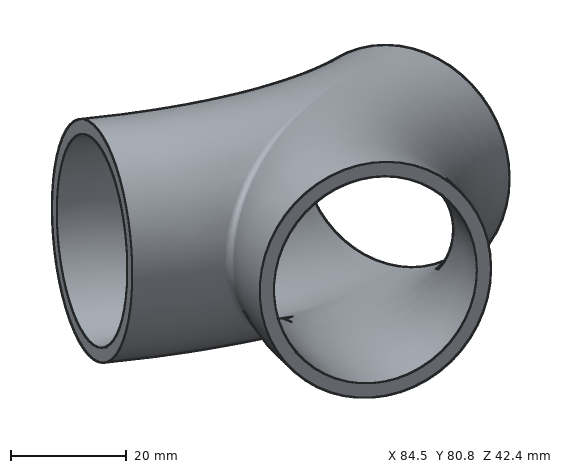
import cadquery as cq

outer_diameter = 42.4
wall = 2.6
bend_angle = 45
bend_radius = 93.0

crotch_fillet = 1.0
bore_fillet = 4.0

plain_seam_length = 0.85

outer_radius = outer_diameter / 2
bore_radius = outer_radius - wall
block_size = 2 * outer_diameter

flat_edge_tolerance = 0.04


def bend(radius):
    """Solid round bend that leaves the inlet along -Y and turns towards +X."""
    axis_start = (bend_radius, 0)
    axis_end = (bend_radius, 1)
    return cq.Workplane("XZ").circle(radius).revolve(bend_angle, axis_start, axis_end)


def mirrored_pair(half):
    return half.union(half.mirror("YZ"))


def filleted_pair(radius, seam_fillet):
    """Two solid bends joined at the inlet, with the seam in the plane x = 0 filleted."""
    half = bend(radius)
    inlet_block = cq.Workplane().box(block_size, 2 * plain_seam_length, block_size)
    inlet_stretch = mirrored_pair(half.intersect(inlet_block))
    legs = mirrored_pair(half.cut(inlet_block))
    seam = [edge for edge in legs.edges().vals() if edge.BoundingBox().xlen < flat_edge_tolerance]
    return legs.newObject(seam).fillet(seam_fillet).union(inlet_stretch)


outer_body = filleted_pair(outer_radius, crotch_fillet)
bore = filleted_pair(bore_radius, bore_fillet)
result = outer_body.cut(bore)